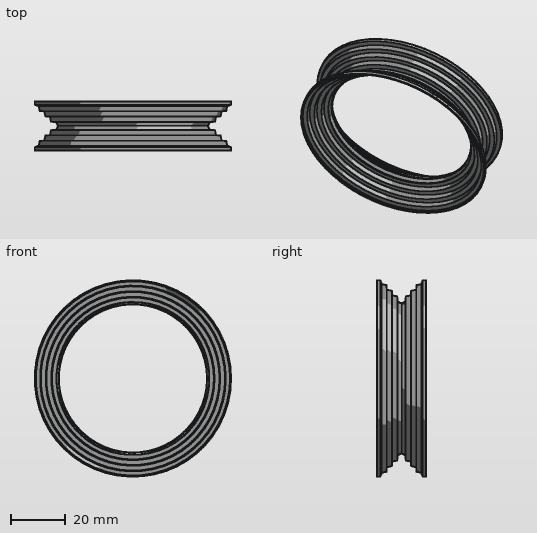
import cadquery as cq

outer_radius = 35.9
width = 18.0
half_width = width / 2
wall = 0.5

waist_radius = 27.4
waist_end_radius = 28.1
first_step_y = 1.35
last_step_y = 5.3
step_count = 3
step_pitch = (last_step_y - first_step_y) / (step_count - 1)
first_step_radius = 30.0
last_step_radius = 34.1
step_radius_pitch = (last_step_radius - first_step_radius) / (step_count - 1)
step_taper = 0.35
shoulder_rise = 0.15

flange_y = 7.75
last_step_end_y = 7.2

bore_radius = 27.0
bore_end_radius = 27.9
rim_inner_radius = outer_radius - wall
flange_inner_y = flange_y + wall


def outside_points():
    """Outside face (radius, y) from the waist to the rim."""
    points = [(waist_radius, 0), (waist_end_radius, first_step_y)]
    for step in range(step_count):
        radius = first_step_radius + step * step_radius_pitch
        start_y = first_step_y + step * step_pitch
        end_y = last_step_end_y if step == step_count - 1 else start_y + step_pitch
        points.append((radius, start_y + shoulder_rise))
        points.append((radius + step_taper, end_y))
    points.append((outer_radius, flange_y))
    points.append((outer_radius, half_width))
    return points


def inside_points():
    """Inside face (radius, y) from the waist to the rim."""
    points = [(bore_radius, 0), (bore_end_radius, first_step_y + wall)]
    for radius, y in outside_points()[2:-2]:
        points.append((radius - wall, y + wall))
    points.append((rim_inner_radius, flange_inner_y))
    points.append((rim_inner_radius, half_width))
    return points


half_section = outside_points() + inside_points()[::-1]
half_ring = cq.Workplane("XY").polyline(half_section).close().revolve(360, (0, 0, 0), (0, 1, 0))
result = half_ring.union(half_ring.mirror("XZ"))